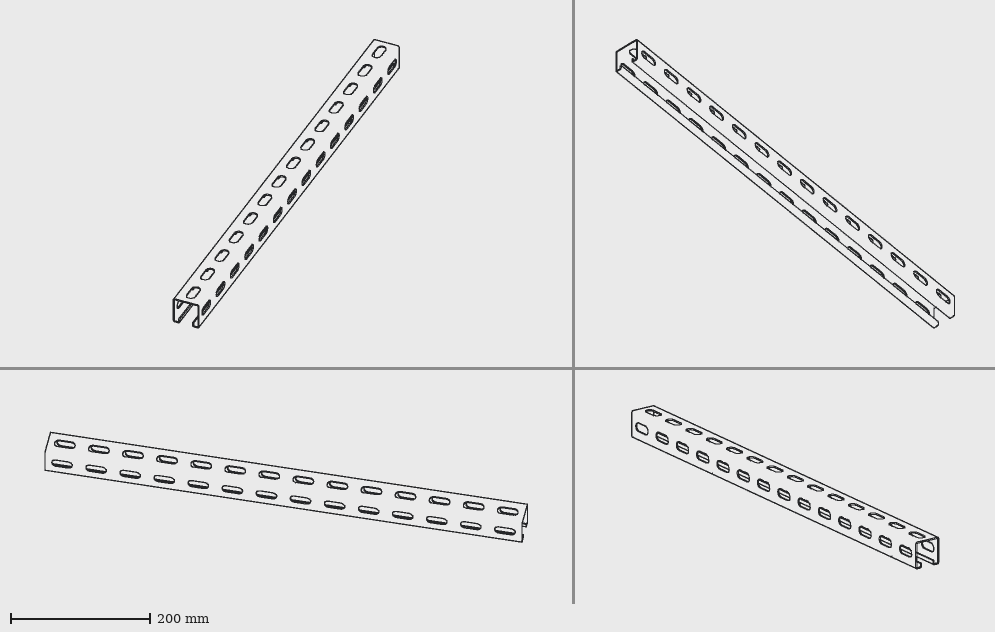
import cadquery as cq

length = 700.0
width = 41.0
height = 41.0
thickness = 2.0
bend_radius = 3.0
mouth_width = 20.0
lip_height = 7.0

slot_count = 14
slot_pitch = length / slot_count
slot_length = 30.0
slot_width = 13.0

top = height / 2
underside = -height / 2
wall_outer_x = width / 2
wall_inner_x = wall_outer_x - thickness
lip_inner_x = mouth_width / 2
lip_outer_x = lip_inner_x + thickness

back_bend_outside = (wall_outer_x, top)
back_bend_inside = (wall_inner_x, top - thickness)
base_bend_outside = (wall_outer_x, underside)
base_bend_inside = (wall_inner_x, underside + thickness)
lip_bend_outside = (lip_inner_x, underside)
lip_bend_inside = (lip_outer_x, underside + thickness)


def round_corners(body, corners, radius):
    """Fillet the lengthwise edges through the given +X corners and their mirror images."""
    for x, z in corners:
        for side in (-1, 1):
            edge = cq.selectors.NearestToPointSelector((side * x, 0, z))
            body = body.edges("|Y").edges(edge).fillet(radius)
    return body


def channel():
    """Bent strip profile, extruded along the full length."""
    half = [
        back_bend_outside,
        base_bend_outside,
        lip_bend_outside,
        (lip_inner_x, underside + lip_height),
        (lip_outer_x, underside + lip_height),
        lip_bend_inside,
        base_bend_inside,
        back_bend_inside,
    ]
    mirrored_half = [(-x, z) for x, z in reversed(half)]
    profile = cq.Workplane("XZ").polyline(half + mirrored_half).close()
    body = profile.extrude(length / 2, both=True)

    outside = [back_bend_outside, base_bend_outside, lip_bend_outside]
    inside = [back_bend_inside, base_bend_inside, lip_bend_inside]
    body = round_corners(body, outside, bend_radius)
    return round_corners(body, inside, bend_radius - thickness)


def slot_row(plane):
    """Outlines of one row of slots; the plane's local X runs along the channel."""
    centres = cq.Workplane(plane).rarray(slot_pitch, 1, slot_count, 1)
    return centres.slot2D(slot_length, slot_width)


back_slots = slot_row("YX").extrude(-height)
side_slots = slot_row("YZ").extrude(width, both=True)

result = channel().cut(back_slots).cut(side_slots)